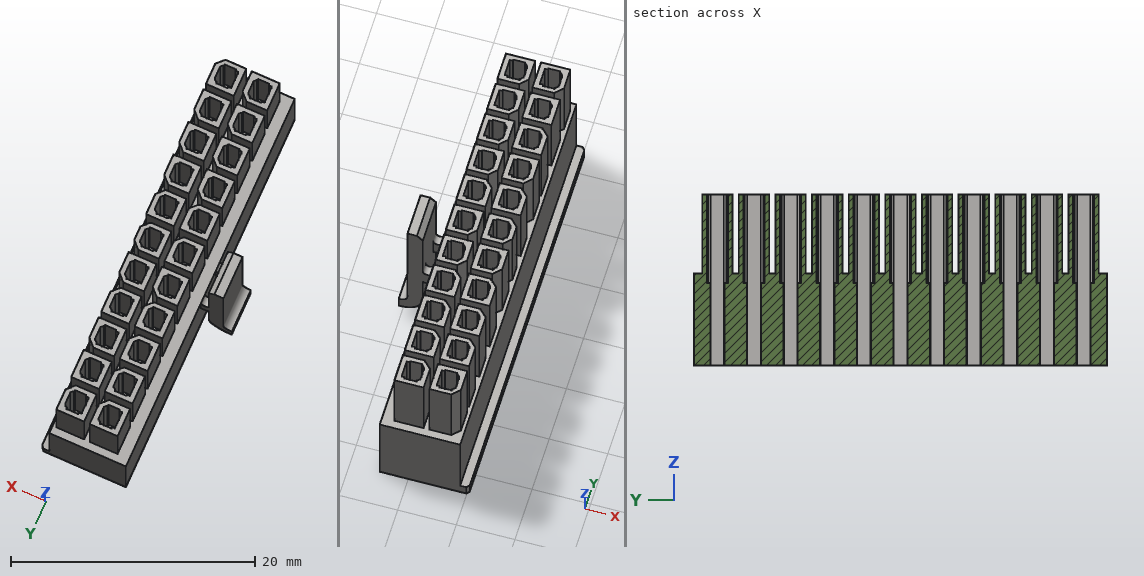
import cadquery as cq


body_length = 33.85
body_depth = 6.87
body_height = 7.55

flange_reach = 0.75
flange_height = 1.0
flange_chamfer = 0.25

end_margin = 1.93
latch_row_x = 2.3
silo_size = 2.5
silo_top = 14.0
key_cut = 0.65

latch_row_keys = ("S", "S", "S", "S", "N", "S", "S", "N", "N", "N", "N")
flange_row_keys = ("S", "", "N", "S", "N", "NS", "S", "N", "N", "N", "S")

pin_count = len(latch_row_keys)
pin_pitch = (body_length - 2 * end_margin) / (pin_count - 1)
flange_row_x = latch_row_x + pin_pitch

mouth_length = 1.55
mouth_width = 1.5
mouth_corner_cut = 0.2
recess_start = 0.27
recess_length = 1.0
recess_width = 1.73
slot_width = 1.15
mouth_floor = 6.77

latch_width = 3.83
latch_gap = 0.7
latch_thickness = 1.32
latch_top = 12.95
latch_lead_in = 0.5
hook_reach = 0.75
hook_bottom = 1.12
hook_thickness = 1.12
hook_inner_radius = 0.65
hook_outer_radius = 1.9

bridge_width = 0.8
bridge_bottom = 5.82
bridge_top = 7.5
bridge_groove_radius = latch_gap / 2


def box(x_min, x_max, y_centre, y_width, z_min, z_max):
    """Plain block between the given X and Z limits, centred on y_centre."""
    return (
        cq.Workplane("XY", origin=(0, y_centre, z_min))
        .moveTo((x_min + x_max) / 2, 0)
        .rect(x_max - x_min, y_width)
        .extrude(z_max - z_min)
    )


def make_housing():
    """Plain block with the foot flange along its +X bottom edge."""
    block = box(0, body_depth, 0, body_length, 0, body_height)
    flange = box(0, body_depth + flange_reach, 0, body_length, 0, flange_height)
    flange = flange.edges("|Z and >X").chamfer(flange_chamfer)
    return block.union(flange)


def keyed_prism(x, y, size_x, size_y, cut, keys, z_min, z_max):
    """Rectangular prism whose +X corners named in keys are cut off."""
    prism = box(x - size_x / 2, x + size_x / 2, y, size_y, z_min, z_max)
    for key, end in (("N", ">Y"), ("S", "<Y")):
        if key in keys:
            prism = prism.edges("|Z").edges(">X").edges(end).chamfer(cut)
    return prism


def make_latch():
    """Hooked latch arm with its two bridges, each grooved along the top."""
    inner = -latch_gap
    outer = inner - latch_thickness
    tip = outer - hook_reach
    hook_top = hook_bottom + hook_thickness
    arm = (
        cq.Workplane("XZ")
        .moveTo(outer, latch_top)
        .lineTo(inner - latch_lead_in, latch_top)
        .lineTo(inner, latch_top - latch_lead_in)
        .lineTo(inner, hook_bottom + hook_outer_radius)
        .radiusArc((inner - hook_outer_radius, hook_bottom), hook_outer_radius)
        .lineTo(tip, hook_bottom)
        .lineTo(tip, hook_top)
        .lineTo(outer - hook_inner_radius, hook_top)
        .radiusArc((outer, hook_top + hook_inner_radius), -hook_inner_radius)
        .close()
        .extrude(latch_width / 2, both=True)
    )
    groove = (
        cq.Workplane("XZ")
        .center(-latch_gap / 2, bridge_top)
        .circle(bridge_groove_radius)
        .extrude(latch_width / 2, both=True)
    )
    for side in (-1, 1):
        y = side * (latch_width - bridge_width) / 2
        bridge = box(inner, 0, y, bridge_width, bridge_bottom, bridge_top)
        arm = arm.union(bridge.cut(groove))
    return arm


def make_cavity():
    """Space for one contact, centred on the Z axis."""
    x_min = -mouth_length / 2
    recess_x = x_min + recess_start
    mouth = keyed_prism(0, 0, mouth_length, mouth_width, mouth_corner_cut, "NS", mouth_floor, silo_top)
    recess = box(recess_x, recess_x + recess_length, 0, recess_width, mouth_floor, silo_top)
    shaft = keyed_prism(0, 0, mouth_length, mouth_width, mouth_corner_cut, "NS", 0, silo_top)
    slot = shaft.intersect(box(x_min, -x_min, 0, slot_width, 0, silo_top))
    return mouth.union(recess).union(slot)


result = make_housing().union(make_latch())

pin_points = []
for x, row_keys in ((latch_row_x, latch_row_keys), (flange_row_x, flange_row_keys)):
    for index, keys in enumerate(row_keys):
        y = body_length / 2 - end_margin - index * pin_pitch
        silo = keyed_prism(x, y, silo_size, silo_size, key_cut, keys, body_height, silo_top)
        result = result.union(silo)
        pin_points.append((x, y))

cavity = make_cavity().val()
cavities = cq.Workplane("XY").pushPoints(pin_points).eachpoint(lambda place: cavity.moved(place))
result = result.cut(cavities)